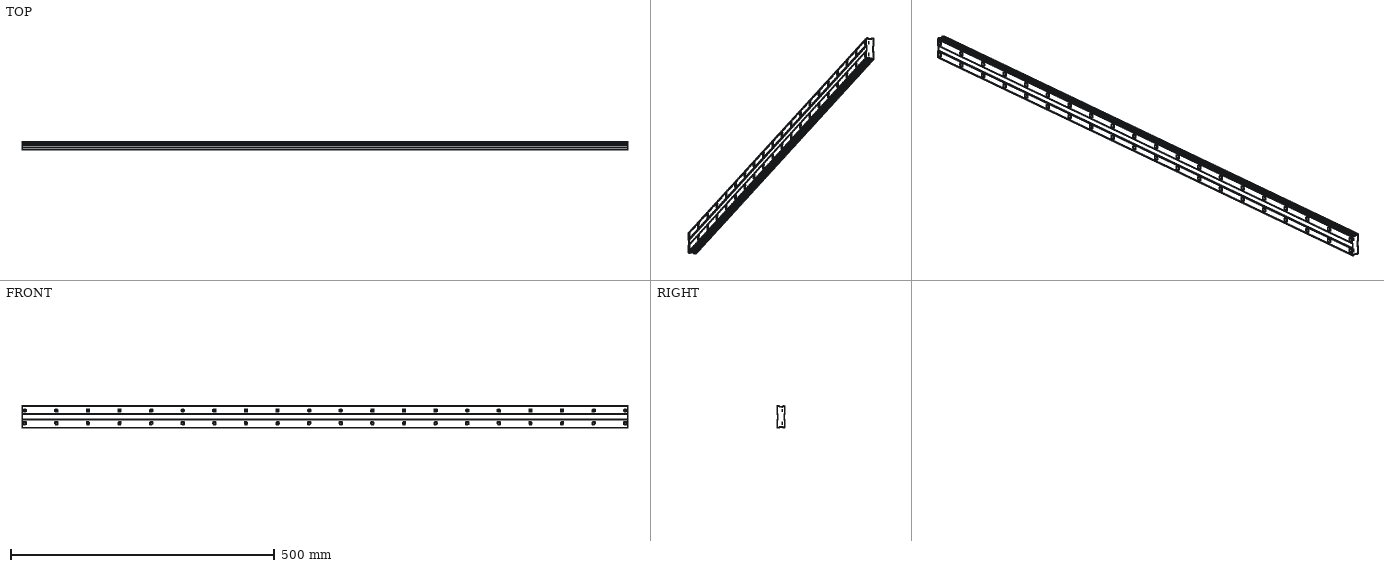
import cadquery as cq


LENGTH = 1150.0
WIDTH = 42.0
HEIGHT = 15.0

BASE_CHAMFER = 0.5
HEAD_CHAMFER = 2.0

CHANNEL_DEPTH = 1.0
CHANNEL_FLOOR_HALF_WIDTH = 4.9
CHANNEL_MOUTH_HALF_WIDTH = CHANNEL_FLOOR_HALF_WIDTH + CHANNEL_DEPTH

RECESS_DEPTH = 1.5
RECESS_MOUTH_Y = -4.0
RECESS_FLOOR_Y = -2.5
RACEWAY_START_Y = 1.2
RACEWAY_DEEPEST_Y = 2.8
RACEWAY_EXTRA_DEPTH = 0.5
RACEWAY_END_Y = 4.2
HEAD_LIP_DEPTH = 0.5

HOLE_PITCH = 60.0
HOLES_PER_ROW = 20
ROW_SPACING = 24.0
HOLE_DIAMETER = 4.5
COUNTERBORE_DIAMETER = 7.5
COUNTERBORE_DEPTH = 5.3

BASE_Y = -HEIGHT / 2
HEAD_Y = HEIGHT / 2
SIDE_Z = WIDTH / 2


def half_profile():
    """Section of the +Z half of the rail, closed along the middle plane."""
    recess_floor_z = SIDE_Z - RECESS_DEPTH
    raceway_deepest = (RACEWAY_DEEPEST_Y, recess_floor_z - RACEWAY_EXTRA_DEPTH)
    raceway_end = (RACEWAY_END_Y, SIDE_Z - HEAD_LIP_DEPTH)
    return (
        cq.Workplane("YZ", origin=(-LENGTH / 2, 0, 0))
        .moveTo(BASE_Y + CHANNEL_DEPTH, 0)
        .lineTo(BASE_Y + CHANNEL_DEPTH, CHANNEL_FLOOR_HALF_WIDTH)
        .lineTo(BASE_Y, CHANNEL_MOUTH_HALF_WIDTH)
        .lineTo(BASE_Y, SIDE_Z - BASE_CHAMFER)
        .lineTo(BASE_Y + BASE_CHAMFER, SIDE_Z)
        .lineTo(RECESS_MOUTH_Y, SIDE_Z)
        .lineTo(RECESS_FLOOR_Y, recess_floor_z)
        .lineTo(RACEWAY_START_Y, recess_floor_z)
        .threePointArc(raceway_deepest, raceway_end)
        .lineTo(RACEWAY_END_Y, SIDE_Z)
        .lineTo(HEAD_Y - HEAD_CHAMFER, SIDE_Z)
        .lineTo(HEAD_Y, SIDE_Z - HEAD_CHAMFER)
        .lineTo(HEAD_Y, CHANNEL_MOUTH_HALF_WIDTH)
        .lineTo(HEAD_Y - CHANNEL_DEPTH, CHANNEL_FLOOR_HALF_WIDTH)
        .lineTo(HEAD_Y - CHANNEL_DEPTH, 0)
        .close()
    )


def rail_body():
    """Full bar: the half bar joined to its mirror image across the middle plane."""
    half = half_profile().extrude(LENGTH)
    return half.union(half.mirror("XY")).clean()


def hole_cutters(diameter, depth):
    """Cylinders sunk from the head face at every mounting hole."""
    return (
        cq.Workplane("XZ", origin=(0, HEAD_Y, 0))
        .rarray(HOLE_PITCH, ROW_SPACING, HOLES_PER_ROW, 2)
        .circle(diameter / 2)
        .extrude(depth)
    )


result = (
    rail_body()
    .cut(hole_cutters(HOLE_DIAMETER, HEIGHT))
    .cut(hole_cutters(COUNTERBORE_DIAMETER, COUNTERBORE_DEPTH))
)